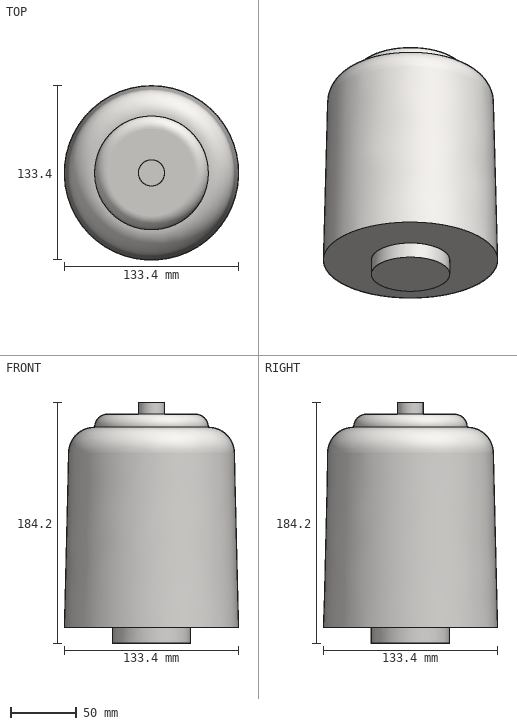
import math

import cadquery as cq

stub_height = 12.0
body_height = 153.2
cap_height = 10.0
pin_height = 9.0

stub_radius = 60.0 / 2
body_bottom_radius = 133.4 / 2
shoulder_round = 20.0
cap_radius = 87.0 / 2
cap_round = cap_height
pin_radius = 20.0 / 2

cap_top = body_height + cap_height
pin_top = cap_top + pin_height

arc_centre_r = cap_radius
arc_centre_z = body_height - shoulder_round
centre_offset = body_bottom_radius - arc_centre_r
centre_distance = math.hypot(centre_offset, arc_centre_z)
draft_angle = math.atan2(centre_offset, arc_centre_z) - math.asin(shoulder_round / centre_distance)


def shoulder_point(angle):
    """Point (radius, height) on the shoulder arc at an angle above horizontal, in radians."""
    return (
        arc_centre_r + shoulder_round * math.cos(angle),
        arc_centre_z + shoulder_round * math.sin(angle),
    )


def revolved_body():
    """Tapered body with a tangent rounded shoulder and a rounded cap on top."""
    wall_top = shoulder_point(draft_angle)
    shoulder_middle = shoulder_point((draft_angle + math.pi / 2) / 2)
    profile = (
        cq.Workplane("YZ")
        .lineTo(body_bottom_radius, 0)
        .lineTo(*wall_top)
        .threePointArc(shoulder_middle, (cap_radius, body_height))
        .radiusArc((cap_radius - cap_round, cap_top), -cap_round)
        .lineTo(0, cap_top)
        .close()
    )
    return profile.revolve(360, (0, 0, 0), (0, 1, 0))


def cylinder(radius, bottom, top):
    """Upright cylinder on the part axis."""
    return cq.Workplane("XY").workplane(offset=bottom).circle(radius).extrude(top - bottom)


stub = cylinder(stub_radius, -stub_height, 0)
pin = cylinder(pin_radius, cap_top, pin_top)

result = revolved_body().union(stub).union(pin)